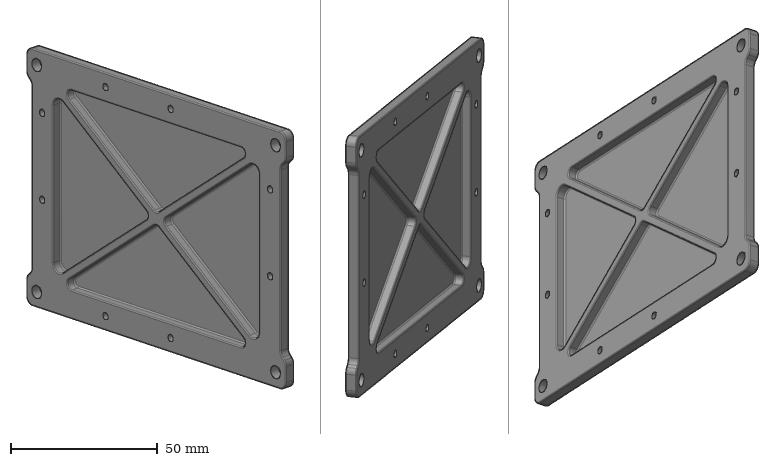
import cadquery as cq
import math

length = 125.2
thickness = 4.0
height = 93.1
outline_radius = 3.0
edge_radius = 0.4

notch_depth = 2.6
ear_height = 11.3
shoulder_angle = 45.0

long_side_border = 10.0
short_side_border = 12.5
rib_width = 3.0
pocket_depth = 3.5
apex_radius = 2.0
long_base_radius = 2.0
short_base_radius = 3.0
floor_radius = 0.5

ear_hole_diameter = 4.6
ear_hole_edge_x = 5.0
ear_hole_edge_z = 5.5
screw_hole_diameter = 2.5
long_side_hole_edge = 5.1
short_side_hole_edge = 7.6
screw_hole_spacing = 31.4
screw_hole_x = -24.4
screw_hole_z = 24.4

half_length = length / 2
half_height = height / 2
waist_half_length = half_length - notch_depth

front_plane = cq.Workplane("XZ", origin=(0, -thickness / 2, 0))


def make_plate():
    half_slope = notch_depth / math.tan(math.radians(shoulder_angle)) / 2
    ear_end = half_height - ear_height + half_slope
    waist_end = half_height - ear_height - half_slope
    right_side = [
        (half_length, half_height),
        (half_length, ear_end),
        (waist_half_length, waist_end),
        (waist_half_length, -waist_end),
        (half_length, -ear_end),
        (half_length, -half_height),
    ]
    left_side = [(-x, -z) for x, z in right_side]
    plate = front_plane.polyline(right_side + left_side).close().extrude(-thickness)
    return plate.edges("|Y").fillet(outline_radius)


def make_pocket(corners, axis, base_radius):
    """Triangular pocket pointing from its base toward the plate centre, against the given axis."""
    pocket = front_plane.polyline(corners).close().extrude(-pocket_depth)
    pocket = pocket.edges("|Y").edges("<" + axis).fillet(apex_radius)
    pocket = pocket.edges("|Y").edges(">" + axis).fillet(base_radius)
    return pocket.faces(">Y").edges().fillet(floor_radius)


def make_pockets():
    frame_x = half_length - short_side_border - edge_radius
    frame_z = half_height - long_side_border - edge_radius
    rib_angle = math.atan2(half_height - long_side_border, half_length - short_side_border)
    slope = math.tan(rib_angle)
    rib_offset_x = rib_width / 2 / math.sin(rib_angle)
    rib_offset_z = rib_width / 2 / math.cos(rib_angle)

    long_base_x = (frame_z - rib_offset_z) / slope
    short_base_z = (frame_x - rib_offset_x) * slope
    long_corners = [(0, rib_offset_z), (long_base_x, frame_z), (-long_base_x, frame_z)]
    short_corners = [(rib_offset_x, 0), (frame_x, short_base_z), (frame_x, -short_base_z)]
    long_pocket = make_pocket(long_corners, "Z", long_base_radius)
    short_pocket = make_pocket(short_corners, "X", short_base_radius)
    return [long_pocket, long_pocket.mirror("XY"), short_pocket, short_pocket.mirror("YZ")]


def make_holes(centres, diameter):
    return front_plane.pushPoints(centres).circle(diameter / 2).extrude(-thickness)


ear_x = half_length - ear_hole_edge_x
ear_z = half_height - ear_hole_edge_z
ear_holes = [(x, z) for x in (-ear_x, ear_x) for z in (-ear_z, ear_z)]

long_side_z = half_height - long_side_hole_edge
short_side_x = half_length - short_side_hole_edge
screw_holes = []
for side in (-1, 1):
    for step in (0, screw_hole_spacing):
        screw_holes.append((screw_hole_x + step, side * long_side_z))
        screw_holes.append((side * short_side_x, screw_hole_z - step))

result = make_plate()
for pocket in make_pockets():
    result = result.cut(pocket)
result = result.faces("<Y or >Y").edges().fillet(edge_radius)
result = result.cut(make_holes(ear_holes, ear_hole_diameter))
result = result.cut(make_holes(screw_holes, screw_hole_diameter))